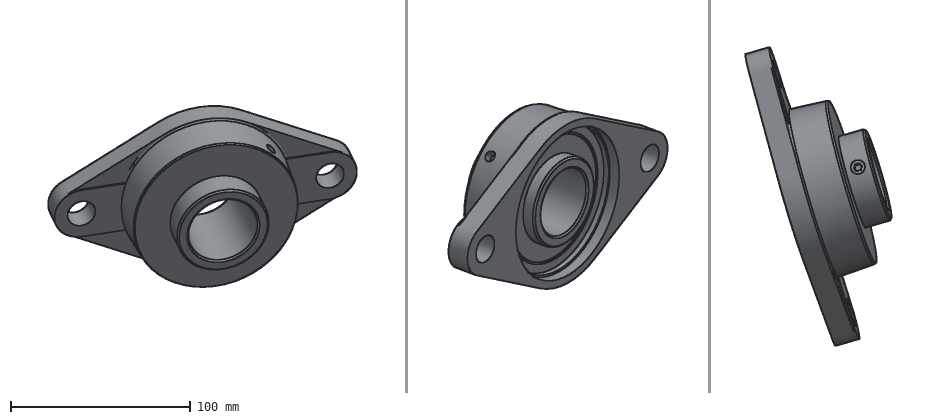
import cadquery as cq
import math

HALF_LENGTH = 87.5
BOLT_OFFSET = 72.0
BOLT_RADIUS = 8.0
TIP_RADIUS = HALF_LENGTH - BOLT_OFFSET
FLANGE_WIDTH = 100.0
FLANGE_RADIUS = FLANGE_WIDTH / 2
FLANGE_THICKNESS = 12.8
PAD_HEIGHT = 1.0

HOUSING_BASE_RADIUS = 48.8
HOUSING_END_RADIUS = 47.6
HOUSING_END = 36.0
HOUSING_CHAMFER_LENGTH = 1.2
HOUSING_CHAMFER_DEPTH = 0.5
BASE_FILLET = 1.0

RECESS_RADIUS = 45.2
RECESS_DEPTH = 6.6
INNER_RECESS_RADIUS = 44.0
FLOOR_DEPTH = 10.2
GROOVE_OUTER_RADIUS = 38.7
GROOVE_INNER_RADIUS = 37.5
GROOVE_DEPTH = 0.4

RING_RADIUS = 26.6
BORE_RADIUS = 20.0
RING_START = 2.1
RING_END = 51.3
RING_CHAMFER = 1.0

SET_SCREW_RADIUS = 4.0
SET_SCREW_RECESS = 0.4
SOCKET_WIDTH = 4.0
SOCKET_TURN = 30
SOCKET_DEPTH = 3.0
SET_SCREW_X = 43.2
SET_SCREW_ANGLE = -120

GREASE_RADIUS = 3.2
GREASE_X = 28.0
GREASE_ANGLE = 45
GREASE_DEPTH = 7.0


def cylinder(radius, start, end):
    """Cylinder on the shaft axis between two X positions."""
    return cq.Workplane("YZ").workplane(offset=start).circle(radius).extrude(end - start)


def rhombic_plate():
    """Flange bounded by a middle circle, two tip circles and their common tangents."""
    slope = math.asin((FLANGE_RADIUS - TIP_RADIUS) / BOLT_OFFSET)
    middle_y = FLANGE_RADIUS * math.sin(slope)
    middle_z = FLANGE_RADIUS * math.cos(slope)
    tip_y = BOLT_OFFSET + TIP_RADIUS * math.sin(slope)
    tip_z = TIP_RADIUS * math.cos(slope)
    return (
        cq.Workplane("YZ")
        .moveTo(-middle_y, middle_z)
        .threePointArc((0, FLANGE_RADIUS), (middle_y, middle_z))
        .lineTo(tip_y, tip_z)
        .threePointArc((HALF_LENGTH, 0), (tip_y, -tip_z))
        .lineTo(middle_y, -middle_z)
        .threePointArc((0, -FLANGE_RADIUS), (-middle_y, -middle_z))
        .lineTo(-tip_y, -tip_z)
        .threePointArc((-HALF_LENGTH, 0), (-tip_y, tip_z))
        .close()
        .extrude(FLANGE_THICKNESS)
    )


def radial_plane(x, angle, distance):
    """Workplane facing outwards, at a distance from the shaft axis."""
    outward = (0, math.cos(math.radians(angle)), math.sin(math.radians(angle)))
    origin = (x, distance * outward[1], distance * outward[2])
    return cq.Workplane(cq.Plane(origin=origin, xDir=(1, 0, 0), normal=outward))


pad_end = FLANGE_THICKNESS + PAD_HEIGHT
pad = (
    cq.Workplane("YZ")
    .workplane(offset=FLANGE_THICKNESS)
    .slot2D(2 * HALF_LENGTH, 2 * TIP_RADIUS)
    .extrude(PAD_HEIGHT)
)
flange = rhombic_plate().union(pad)

fillet_end = FLANGE_THICKNESS + BASE_FILLET
fillet_sag = BASE_FILLET * (1 - math.sqrt(0.5))
housing = (
    cq.Workplane("XY")
    .moveTo(0, 0)
    .lineTo(0, HOUSING_BASE_RADIUS)
    .lineTo(FLANGE_THICKNESS, HOUSING_BASE_RADIUS + BASE_FILLET)
    .threePointArc(
        (FLANGE_THICKNESS + fillet_sag, HOUSING_BASE_RADIUS + fillet_sag),
        (fillet_end, HOUSING_BASE_RADIUS),
    )
    .lineTo(HOUSING_END - HOUSING_CHAMFER_LENGTH, HOUSING_END_RADIUS)
    .lineTo(HOUSING_END, HOUSING_END_RADIUS - HOUSING_CHAMFER_DEPTH)
    .lineTo(HOUSING_END, 0)
    .close()
    .revolve(360, (0, 0, 0), (1, 0, 0))
)
body = flange.union(housing)

body = body.cut(cylinder(RECESS_RADIUS, 0, RECESS_DEPTH))
body = body.cut(cylinder(INNER_RECESS_RADIUS, 0, FLOOR_DEPTH))
groove_end = FLOOR_DEPTH + GROOVE_DEPTH
groove = cylinder(GROOVE_OUTER_RADIUS, FLOOR_DEPTH, groove_end)
groove = groove.cut(cylinder(GROOVE_INNER_RADIUS, FLOOR_DEPTH, groove_end))
body = body.cut(groove)

bolt_holes = (
    cq.Workplane("YZ")
    .pushPoints([(-BOLT_OFFSET, 0), (BOLT_OFFSET, 0)])
    .circle(BOLT_RADIUS)
    .extrude(pad_end)
)
body = body.cut(bolt_holes)

ring = cylinder(RING_RADIUS, RING_START, RING_END).cut(cylinder(BORE_RADIUS, RING_START, RING_END))
ring = ring.faces("<X or >X").chamfer(RING_CHAMFER)
body = body.cut(cylinder(BORE_RADIUS, 0, RING_END)).union(ring)

screw_face = RING_RADIUS - SET_SCREW_RECESS
screw_plane = radial_plane(SET_SCREW_X, SET_SCREW_ANGLE, screw_face)
screw_recess = screw_plane.circle(SET_SCREW_RADIUS).extrude(2 * SET_SCREW_RECESS)
socket = (
    screw_plane.transformed(rotate=(0, 0, SOCKET_TURN))
    .polygon(6, SOCKET_WIDTH, circumscribed=True)
    .extrude(-SOCKET_DEPTH)
)
body = body.cut(screw_recess).cut(socket)

grease_plane = radial_plane(GREASE_X, GREASE_ANGLE, HOUSING_BASE_RADIUS)
result = body.cut(grease_plane.circle(GREASE_RADIUS).extrude(-GREASE_DEPTH))